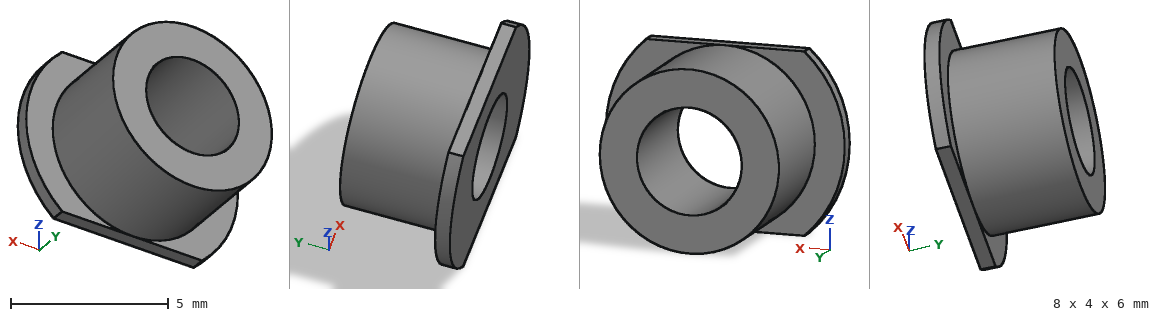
import cadquery as cq

flange_diameter = 8.0
flange_thickness = 0.5
barrel_diameter = 6.0
bore_diameter = 3.5
total_length = 4.0
flange_height = barrel_diameter


def cylinder_along_y(diameter, length):
    """Cylinder running from Y = 0 to Y = length."""
    return cq.Workplane("XZ").circle(diameter / 2).extrude(-length)


def make_flange():
    """Round flange trimmed by flats at the top and bottom."""
    trim = cq.Workplane("XZ").rect(flange_diameter, flange_height).extrude(-flange_thickness)
    return cylinder_along_y(flange_diameter, flange_thickness).intersect(trim)


barrel = cylinder_along_y(barrel_diameter, total_length)
bore = cylinder_along_y(bore_diameter, total_length)

result = make_flange().union(barrel).cut(bore)